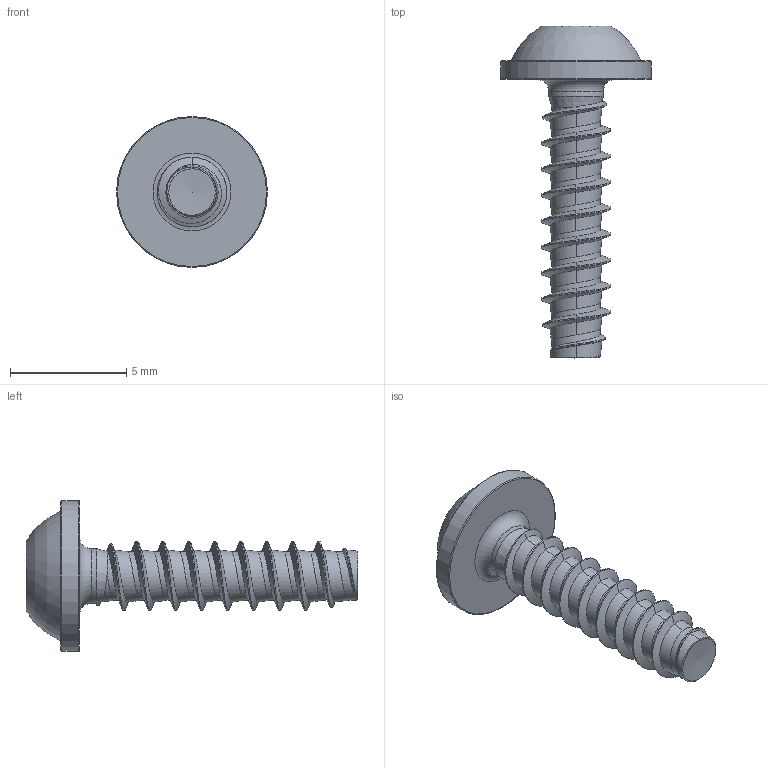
import cadquery as cq
import math


flange_radius = 3.25
flange_thickness = 0.8
rim_fillet = 0.04
dome_base_radius = 2.8
dome_top_radius = 1.5
dome_height = 1.5

shank_length = 12.0
neck_radius = 1.18
neck_fillet = 0.5
neck_end = 0.72
core_radius = 1.055
core_start = 1.19
tip_radius = 1.0
tip_taper_length = 0.06
tip_recess_depth = 0.06

pitch = 1.12
crest_depth_at_zero = 1.07
start_angle = -270.0
points_per_turn = 24
crest_radius = 1.5
crest_half_width = 0.025
upper_flank_width = 0.19
lower_flank_width = 0.16
least_flank_share = 0.2
start_crest_radius = 1.21
start_crest_depth = 0.51
full_crest_depth = 1.9
fade_start_depth = 10.4
fade_end_depth = 11.85

shoulder_radius = 1.125
shoulder_end = 0.70

root_overlap = 0.15
root_widening = 0.05
shoulder_overlap = 0.07


def make_head_and_core():
    """Revolved blank: spherical dome, flange, filleted neck and core."""
    head_top = flange_thickness + dome_height
    top_distance_squared = dome_top_radius**2 + head_top**2
    base_distance_squared = dome_base_radius**2 + flange_thickness**2
    centre_y = (top_distance_squared - base_distance_squared) / (2 * dome_height)
    sphere_radius = math.hypot(dome_base_radius, flange_thickness - centre_y)
    middle_y = flange_thickness + dome_height / 2
    dome_middle = (math.sqrt(sphere_radius**2 - (middle_y - centre_y) ** 2), middle_y)
    fillet_gap = neck_fillet * (1 - math.sqrt(0.5))
    fillet_middle = (neck_radius + fillet_gap, -fillet_gap)
    profile = (
        cq.Workplane("XY")
        .moveTo(0, head_top)
        .lineTo(dome_top_radius, head_top)
        .threePointArc(dome_middle, (dome_base_radius, flange_thickness))
        .lineTo(flange_radius - rim_fillet, flange_thickness)
        .radiusArc((flange_radius, flange_thickness - rim_fillet), rim_fillet)
        .lineTo(flange_radius, rim_fillet)
        .radiusArc((flange_radius - rim_fillet, 0), rim_fillet)
        .lineTo(neck_radius + neck_fillet, 0)
        .threePointArc(fillet_middle, (neck_radius, -neck_fillet))
        .lineTo(neck_radius, -neck_end)
        .lineTo(core_radius, -core_start)
        .lineTo(core_radius, -shank_length + tip_taper_length)
        .lineTo(tip_radius, -shank_length)
        .lineTo(0, -shank_length)
        .close()
    )
    return profile.revolve(360, (0, 0, 0), (0, 1, 0))


def crest_radius_at(depth):
    """Crest radius: grows over the first turn and fades out toward the tip."""
    growth = (depth - start_crest_depth) / (full_crest_depth - start_crest_depth)
    fade = (fade_end_depth - depth) / (fade_end_depth - fade_start_depth)
    growing = start_crest_radius + (crest_radius - start_crest_radius) * min(growth, 1)
    fading = core_radius + (crest_radius - core_radius) * fade
    return max(min(growing, fading), core_radius - root_overlap / 2)


def thread_section(depth):
    """Thread profile as (offset toward the tip, radius) pairs around a crest at this depth."""
    crest = crest_radius_at(depth)
    flank_share = max((crest - shoulder_radius) / (crest_radius - shoulder_radius), least_flank_share)
    flank_foot = crest_half_width + (lower_flank_width - crest_half_width) * flank_share
    shoulder_slope = (shoulder_radius - core_radius) / (shoulder_end - lower_flank_width)
    buried_end = shoulder_end + shoulder_overlap
    return [
        (-upper_flank_width - root_widening, core_radius - root_overlap),
        (-crest_half_width, crest),
        (crest_half_width, crest),
        (flank_foot, min(shoulder_radius, crest)),
        (buried_end, core_radius - shoulder_slope * shoulder_overlap),
        (buried_end, core_radius - root_overlap),
    ]


def make_thread():
    """Helical solid skinned over the thread section and trimmed to the threaded length."""
    end_angle = 360 * (shank_length - crest_depth_at_zero) / pitch
    turns = math.ceil((end_angle - start_angle) / 360)
    steps = turns * points_per_turn
    tracks = [[] for _ in thread_section(0)]
    for step in range(steps + 1):
        angle = start_angle + 360 * step / points_per_turn
        depth = crest_depth_at_zero + pitch * angle / 360
        turn = math.radians(angle)
        for track, (offset, radius) in zip(tracks, thread_section(depth)):
            track.append(cq.Vector(radius * math.cos(turn), -depth - offset, radius * math.sin(turn)))

    faces = []
    for first in range(0, steps, points_per_turn):
        last = first + points_per_turn
        helices = [cq.Edge.makeSpline(track[first : last + 1]) for track in tracks]
        next_helices = helices[1:] + helices[:1]
        faces += [cq.Face.makeRuledSurface(a, b) for a, b in zip(helices, next_helices)]
    for end in (0, -1):
        outline = cq.Wire.makePolygon([track[end] for track in tracks], close=True)
        faces.append(cq.Face.makeFromWires(outline))
    thread = cq.Solid.makeSolid(cq.Shell.makeShell(faces))

    threaded_length = (
        cq.Workplane("XZ")
        .workplane(offset=neck_end)
        .circle(neck_radius + crest_radius)
        .extrude(shank_length - neck_end)
    )
    return threaded_length.intersect(cq.Workplane(thread))


def make_tip_recess():
    """Shallow cone hollowed into the tip face."""
    cone = cq.Solid.makeCone(
        tip_radius, 0, tip_recess_depth, pnt=cq.Vector(0, -shank_length, 0), dir=cq.Vector(0, 1, 0)
    )
    return cq.Workplane(cone)


result = make_head_and_core().union(make_thread()).cut(make_tip_recess())